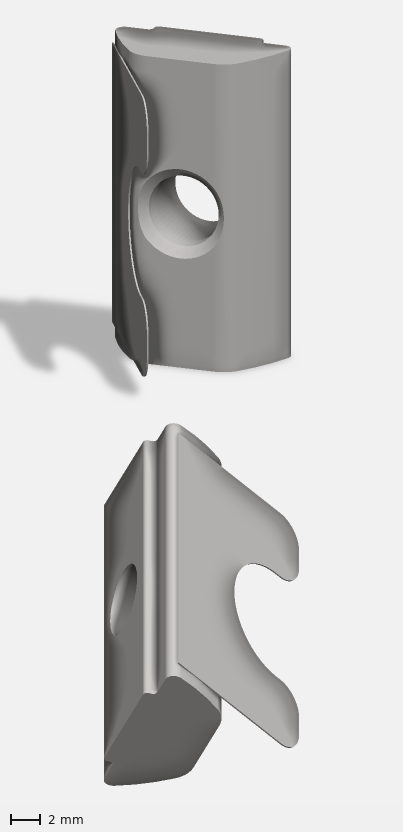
import cadquery as cq
import math

length = 22.0
half_width = 6.25
depth = 6.0
front_half_width = 2.4
front_radius = 2.0
front_sweep = math.radians(49.5)
flank_radius = 14.95
lip_radius = 0.88
shoulder_y = 5.2
tongue_half_width = 3.9
tongue_radius = 0.3

hole_diameter = 5.0
hole_radius = hole_diameter / 2
countersink_radius = 3.2

leaf_thickness = 0.1
leaf_height = 20.0
leaf_length = 13.0
leaf_angle = 60.0
leaf_outer_x = -6.51
leaf_outer_y = 4.55
prong_height = 5.5
prong_radius = 2.0
notch_depth = 7.0


def on_circle(center, radius, angle):
    """Point on a circle, with the angle measured from -Y towards +X."""
    return (center[0] + radius * math.sin(angle), center[1] - radius * math.cos(angle))


def mirrored(point):
    return (-point[0], point[1])


def make_block():
    front_center = (front_half_width, front_radius)
    flank_center = on_circle(front_center, front_radius - flank_radius, front_sweep)
    lip_x = half_width - lip_radius
    lip_angle = math.asin((lip_x - flank_center[0]) / (flank_radius - lip_radius))
    lip_center = on_circle(flank_center, flank_radius - lip_radius, lip_angle)
    corner_radius = shoulder_y - lip_center[1]
    corner_center = (half_width - corner_radius, lip_center[1])

    front_end = (front_half_width, 0)
    front_mid = on_circle(front_center, front_radius, front_sweep / 2)
    flank_start = on_circle(front_center, front_radius, front_sweep)
    flank_mid = on_circle(flank_center, flank_radius, (front_sweep + lip_angle) / 2)
    flank_end = on_circle(flank_center, flank_radius, lip_angle)
    lip_mid = on_circle(lip_center, lip_radius, (lip_angle + math.pi / 2) / 2)
    lip_end = (half_width, lip_center[1])
    corner_mid = on_circle(corner_center, corner_radius, math.pi * 3 / 4)
    corner_end = (corner_center[0], shoulder_y)
    tongue_root = (tongue_half_width, shoulder_y)
    tongue_corner = (tongue_half_width, depth)

    block = (
        cq.Workplane("XY", origin=(0, 0, -length / 2))
        .moveTo(*mirrored(front_end))
        .lineTo(*front_end)
        .threePointArc(front_mid, flank_start)
        .threePointArc(flank_mid, flank_end)
        .threePointArc(lip_mid, lip_end)
        .threePointArc(corner_mid, corner_end)
        .lineTo(*tongue_root)
        .lineTo(*tongue_corner)
        .lineTo(*mirrored(tongue_corner))
        .lineTo(*mirrored(tongue_root))
        .lineTo(*mirrored(corner_end))
        .threePointArc(mirrored(corner_mid), mirrored(lip_end))
        .threePointArc(mirrored(lip_mid), mirrored(flank_end))
        .threePointArc(mirrored(flank_mid), mirrored(flank_start))
        .threePointArc(mirrored(front_mid), mirrored(front_end))
        .close()
        .extrude(length)
    )
    for x in (-tongue_half_width, tongue_half_width):
        for y in (shoulder_y, depth):
            corner = cq.selectors.NearestToPointSelector((x, y, 0))
            block = block.edges(corner).fillet(tongue_radius)
    return block


def make_hole():
    """Through hole along Y, with the countersink opening on the front face."""
    countersink_depth = countersink_radius - hole_radius
    return (
        cq.Workplane("XY")
        .lineTo(countersink_radius, 0)
        .lineTo(hole_radius, countersink_depth)
        .lineTo(hole_radius, depth)
        .lineTo(0, depth)
        .close()
        .revolve(360, (0, 0, 0), (0, 1, 0))
    )


def make_leaf():
    """Flat leaf with two rounded prongs either side of a round-bottomed notch."""
    angle = math.radians(leaf_angle)
    leaf_plane = cq.Plane(
        origin=(leaf_outer_x, leaf_outer_y, 0),
        xDir=(math.cos(angle), -math.sin(angle), 0),
        normal=(math.sin(angle), math.cos(angle), 0),
    )
    notch_radius = leaf_height / 2 - prong_height
    notch_bottom = leaf_length - notch_depth
    notch_center = notch_bottom + notch_radius
    leaf = (
        cq.Workplane(leaf_plane)
        .moveTo(0, -leaf_height / 2)
        .lineTo(leaf_length, -leaf_height / 2)
        .lineTo(leaf_length, -notch_radius)
        .lineTo(notch_center, -notch_radius)
        .threePointArc((notch_bottom, 0), (notch_center, notch_radius))
        .lineTo(leaf_length, notch_radius)
        .lineTo(leaf_length, leaf_height / 2)
        .lineTo(0, leaf_height / 2)
        .close()
        .extrude(leaf_thickness)
    )
    tip_x = leaf_outer_x + leaf_length * math.cos(angle)
    tip_y = leaf_outer_y - leaf_length * math.sin(angle)
    for z in (-leaf_height / 2, -notch_radius, notch_radius, leaf_height / 2):
        corner = cq.selectors.NearestToPointSelector((tip_x, tip_y, z))
        leaf = leaf.edges(corner).fillet(prong_radius)
    return leaf


result = make_block().cut(make_hole()).union(make_leaf())